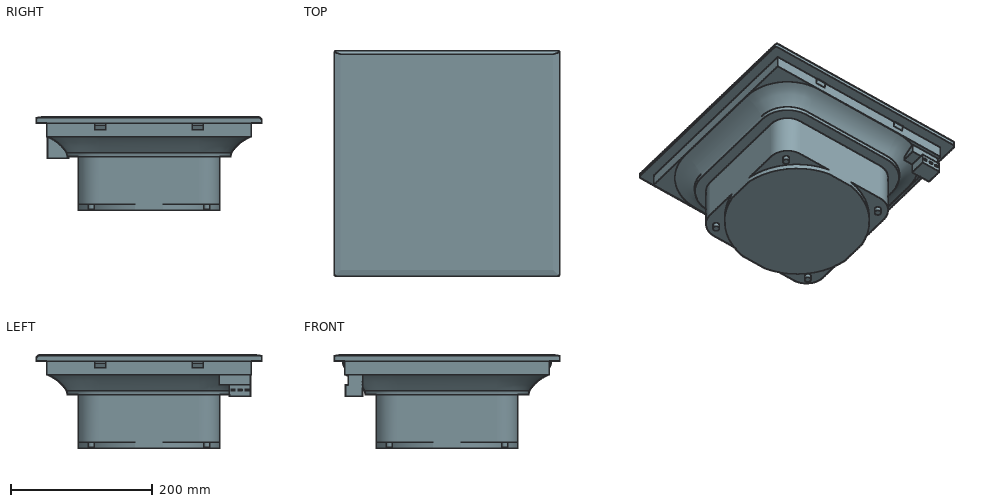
import cadquery as cq
import math

PLATE_SIZE = 320.0
PLATE_THICKNESS = 9.0
PLATE_CORNER_RADIUS = 4.0
BEVEL_WIDTH = 9.5
BEVEL_DROP = 1.6
BACK_BEVEL_WIDTH = 5.5
BACK_BEVEL_DROP = 4.5
BACK_BEVEL_CROWN = 0.7

TOTAL_HEIGHT = 132.5
PLATE_BOTTOM = TOTAL_HEIGHT - PLATE_THICKNESS
FRAME_BOTTOM = 104.3
LIP_TOP = 81.8
LIP_BOTTOM = 76.0
BASE_HEIGHT = 8.5

FRAME_SIZE = 290.0

HOUSING_SIZE = 201.0
HOUSING_CORNER_RADIUS = 29.5
CORNER_CENTRE = HOUSING_SIZE / 2 - HOUSING_CORNER_RADIUS

FUNNEL_INSET = 0.5
FUNNEL_TOP_HALF = FRAME_SIZE / 2 - FUNNEL_INSET
LIP_TOP_HALF = 117.0
LIP_BOTTOM_HALF = 116.0
FUNNEL_SAG = 3.0

TAB_LENGTH = 15.0
TAB_OFFSET = 69.0
TAB_PROJECTION = 3.0
TAB_PEAK_DROP = 3.0
TAB_HEIGHT = 9.5

BASE_DISC_DIAMETER = 205.0
PIN_RADIUS = 4.5
PIN_CENTRE = 81.7
PIN_BOTTOM = 1.3

BOX_OUTER = 144.0
BOX_INNER_X = 119.5
BOX_BOTTOM = 73.5
BOX_STEP_HEIGHT = 90.0
BOX_UPPER_OUTER_X = 140.0
BOX_UPPER_INNER_Y = 99.5
BOX_LOWER_INNER_Y = 114.0

SLOT_COUNT = 3
SLOT_PITCH = 10.0
SLOT_WIDTH = 5.5
SLOT_HEIGHT = 2.5
SLOT_DEPTH = 3.0
SLOT_RISE = 9.2


def box_between(x_range, y_range, z_range):
    """Axis-aligned box spanning three (low, high) ranges."""
    spans = [high - low for low, high in (x_range, y_range, z_range)]
    low_corner = (x_range[0], y_range[0], z_range[0])
    return cq.Workplane("XY").box(*spans, centered=False).translate(low_corner)


def make_plate():
    """Square plate with rounded corners and a shallow bevel around its top."""
    plate = (
        cq.Workplane("XY", origin=(0, 0, PLATE_BOTTOM))
        .rect(PLATE_SIZE, PLATE_SIZE)
        .extrude(PLATE_THICKNESS)
        .edges("|Z")
        .fillet(PLATE_CORNER_RADIUS)
    )
    for turn in (0, 180, 270):
        plate = plate.cut(bevel_cutter(BEVEL_WIDTH, BEVEL_DROP, 0, turn))
    return plate.cut(bevel_cutter(BACK_BEVEL_WIDTH, BACK_BEVEL_DROP, BACK_BEVEL_CROWN, 90))


def bevel_cutter(width, drop, crown, turn):
    """Cutter along the +X top edge of the plate, turned about Z by turn degrees.

    It leaves a flat slope, or one rounded outward by crown at its middle.
    """
    half = PLATE_SIZE / 2
    inner = (half - width, TOTAL_HEIGHT)
    outline = (
        cq.Workplane("XZ")
        .moveTo(half, TOTAL_HEIGHT)
        .lineTo(half, TOTAL_HEIGHT - drop)
    )
    if crown > 0:
        slope = math.hypot(width, drop)
        middle_x = half - width / 2 + crown * drop / slope
        middle_z = TOTAL_HEIGHT - drop / 2 + crown * width / slope
        outline = outline.threePointArc((middle_x, middle_z), inner)
    else:
        outline = outline.lineTo(*inner)
    return outline.close().extrude(half, both=True).rotate((0, 0, 0), (0, 0, 1), turn)


def make_frame():
    """Sharp-cornered square block carrying the plate."""
    return (
        cq.Workplane("XY", origin=(0, 0, FRAME_BOTTOM))
        .rect(FRAME_SIZE, FRAME_SIZE)
        .extrude(PLATE_BOTTOM - FRAME_BOTTOM)
    )


def make_tabs():
    """Triangular ridges, two on each X side of the frame."""
    half = FRAME_SIZE / 2
    profile = [
        (half, PLATE_BOTTOM),
        (half + TAB_PROJECTION, PLATE_BOTTOM - TAB_PEAK_DROP),
        (half, PLATE_BOTTOM - TAB_HEIGHT),
    ]
    ridge = cq.Workplane("XZ").polyline(profile).close().extrude(TAB_LENGTH / 2, both=True)
    pair = ridge.translate((0, TAB_OFFSET, 0)).union(ridge.translate((0, -TAB_OFFSET, 0)))
    return pair.union(pair.mirror("YZ"))


def funnel_profile(inner):
    """Half section of the funnel in XZ, from x = inner out to its hollow flank."""
    run = FUNNEL_TOP_HALF - LIP_TOP_HALF
    rise = FRAME_BOTTOM - LIP_TOP
    chord = math.hypot(run, rise)
    flank_middle = (
        (FUNNEL_TOP_HALF + LIP_TOP_HALF) / 2 - FUNNEL_SAG * rise / chord,
        (FRAME_BOTTOM + LIP_TOP) / 2 + FUNNEL_SAG * run / chord,
    )
    lip_run = LIP_TOP_HALF - LIP_BOTTOM_HALF
    lip_rise = LIP_TOP - LIP_BOTTOM
    lip_radius = (lip_run**2 + lip_rise**2) / (2 * lip_run)
    lip_half_angle = math.asin(lip_rise / lip_radius) / 2
    lip_middle = (
        LIP_BOTTOM_HALF + lip_radius * (1 - math.cos(lip_half_angle)),
        LIP_BOTTOM + lip_radius * math.sin(lip_half_angle),
    )
    return (
        cq.Workplane("XZ")
        .moveTo(inner, LIP_BOTTOM)
        .lineTo(LIP_BOTTOM_HALF, LIP_BOTTOM)
        .threePointArc(lip_middle, (LIP_TOP_HALF, LIP_TOP))
        .threePointArc(flank_middle, (FUNNEL_TOP_HALF, FRAME_BOTTOM))
        .lineTo(inner, FRAME_BOTTOM)
        .close()
    )


def make_funnel():
    """Flared rounded square: four straight flanks joined by revolved corners."""
    side = funnel_profile(0).extrude(CORNER_CENTRE, both=True)
    corner = (
        funnel_profile(CORNER_CENTRE)
        .revolve(360, (CORNER_CENTRE, 0, 0), (CORNER_CENTRE, 1, 0))
        .translate((0, CORNER_CENTRE, 0))
    )
    quarter = side.union(corner)
    funnel = quarter
    for turn in (90, 180, 270):
        funnel = funnel.union(quarter.rotate((0, 0, 0), (0, 0, 1), turn))
    return funnel


def make_housing():
    """Rounded square body between the base and the funnel lip."""
    return (
        cq.Workplane("XY", origin=(0, 0, BASE_HEIGHT))
        .rect(HOUSING_SIZE, HOUSING_SIZE)
        .extrude(LIP_BOTTOM - BASE_HEIGHT)
        .edges("|Z")
        .fillet(HOUSING_CORNER_RADIUS)
    )


def make_base():
    """Disc trimmed by the four flats of the housing, with a pin in each corner."""
    disc = cq.Workplane("XY").circle(BASE_DISC_DIAMETER / 2).extrude(BASE_HEIGHT)
    flats = cq.Workplane("XY").rect(HOUSING_SIZE, HOUSING_SIZE).extrude(BASE_HEIGHT)
    pins = (
        cq.Workplane("XY", origin=(0, 0, PIN_BOTTOM))
        .rect(2 * PIN_CENTRE, 2 * PIN_CENTRE, forConstruction=True)
        .vertices()
        .circle(PIN_RADIUS)
        .extrude(BASE_HEIGHT - PIN_BOTTOM)
    )
    return disc.intersect(flats).union(pins)


def make_connector_box():
    """Box hanging from the frame, stepped out toward -X at its lower part."""
    upper = box_between(
        (-BOX_UPPER_OUTER_X, -BOX_INNER_X),
        (-BOX_OUTER, -BOX_UPPER_INNER_Y),
        (BOX_STEP_HEIGHT, FRAME_BOTTOM),
    )
    lower = box_between(
        (-BOX_OUTER, -BOX_INNER_X),
        (-BOX_OUTER, -BOX_LOWER_INNER_Y),
        (BOX_BOTTOM, BOX_STEP_HEIGHT),
    )
    return upper.union(lower).cut(make_cable_slots())


def make_cable_slots():
    """Row of round-ended slots cut into the -X face of the lower box."""
    centre_y = -(BOX_OUTER + BOX_LOWER_INNER_Y) / 2
    return (
        cq.Workplane("YZ", origin=(-BOX_OUTER, centre_y, BOX_BOTTOM + SLOT_RISE))
        .rarray(SLOT_PITCH, 1, SLOT_COUNT, 1)
        .slot2D(SLOT_WIDTH, SLOT_HEIGHT)
        .extrude(SLOT_DEPTH)
    )


result = (
    make_plate()
    .union(make_frame())
    .union(make_tabs())
    .union(make_funnel())
    .union(make_housing())
    .union(make_base())
    .union(make_connector_box())
)